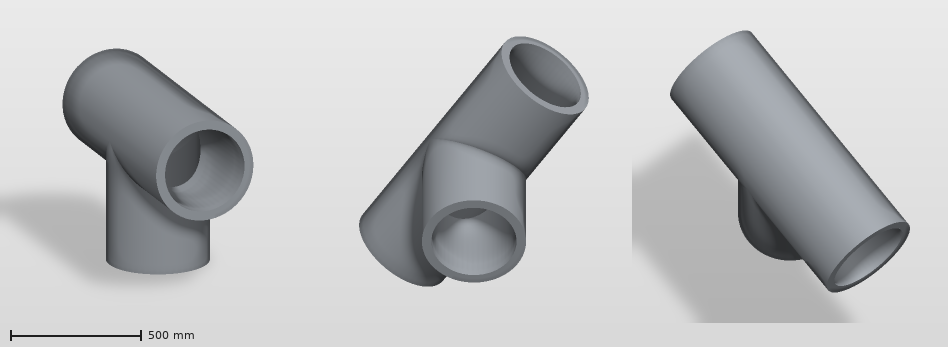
import cadquery as cq

run_length = 1000.0
outer_diameter = 400.0
bore_diameter = 327.0
branch_reach = 500.0


def tee_cylinders(diameter):
    """Run and branch cylinders of one diameter, joined on their crossing axes."""
    run = cq.Workplane("YZ").circle(diameter / 2).extrude(run_length / 2, both=True)
    branch = cq.Workplane("XY").circle(diameter / 2).extrude(-branch_reach)
    return run.union(branch)


result = tee_cylinders(outer_diameter).cut(tee_cylinders(bore_diameter))